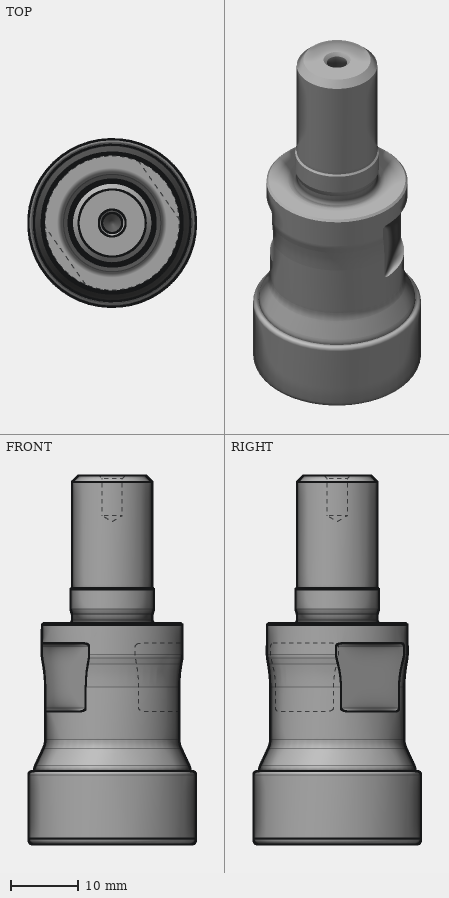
import cadquery as cq
import math

total_height = 55.0
plate_thickness = 0.9
head_top = 10.95
collar_top = 33.0

head_radius = 25.0 / 2
plate_edge_fillet = 0.8
head_top_fillet = 0.55

shoulder_radius = 23.33 / 2
shoulder_angle = math.radians(25)
shoulder_outer_blend = 2.0
shoulder_inner_blend = 3.0

waist_radius = 20.0 / 2
collar_radius = 21.0 / 2
collar_chamfer = 0.3
flare_angle = math.radians(10)
flare_start = 23.45
flare_inner_blend = 20.0
flare_outer_blend = 3.0

shank_radius = 12.0 / 2
shank_end_chamfer = 1.0
band_radius = 12.5 / 2
band_top = 38.0
band_bottom = 35.1
band_foot_radius = 12.1 / 2
band_foot = 34.45
neck_top = 34.25
undercut_blend = 0.6
undercut_blend_top = 33.44
undercut_angle = math.radians(11)

centre_hole_radius = 3.0 / 2
centre_hole_depth = 6.0
centre_countersink_radius = 4.0 / 2
centre_countersink_depth = 0.5
drill_point_angle = math.radians(118)

flat_distance = 17.0 / 2
flat_bottom = 19.85
flat_top = 30.0
flat_corner_radius = 0.5
flat_direction = 215.0


def blend_point(radius, height, blend, angle):
    """Point on a blend arc, at an angle above the horizontal through its centre.

    The arc centre lies at (radius, height); a negative blend puts the point on the axis side.
    """
    return (radius + blend * math.cos(angle), height + abs(blend) * math.sin(angle))


def make_plate():
    plate = cq.Workplane("XY").circle(head_radius).extrude(plate_thickness)
    return plate.faces("<Z").edges().fillet(plate_edge_fillet)


def shoulder_top():
    """Height where the inner blend of the shoulder runs out into the waist."""
    blends = shoulder_outer_blend + shoulder_inner_blend
    cone_run = shoulder_radius - waist_radius - blends * (1 - math.cos(shoulder_angle))
    outer_end = head_top + shoulder_outer_blend * math.sin(shoulder_angle)
    cone_end = outer_end + cone_run / math.tan(shoulder_angle)
    return cone_end + shoulder_inner_blend * math.sin(shoulder_angle)


def make_revolved_body():
    waist_bottom = shoulder_top()
    outer_centre = shoulder_radius - shoulder_outer_blend
    inner_centre = waist_radius + shoulder_inner_blend

    def shoulder_outer(angle):
        return blend_point(outer_centre, head_top, shoulder_outer_blend, angle)

    def shoulder_inner(angle):
        return blend_point(inner_centre, waist_bottom, -shoulder_inner_blend, -angle)

    flare_blends = flare_inner_blend + flare_outer_blend
    flare_run = collar_radius - waist_radius - flare_blends * (1 - math.cos(flare_angle))
    flare_end = flare_start + flare_blends * math.sin(flare_angle) + flare_run / math.tan(flare_angle)
    flare_inner_centre = waist_radius + flare_inner_blend
    flare_outer_centre = collar_radius - flare_outer_blend

    def flare_inner(angle):
        return blend_point(flare_inner_centre, flare_start, -flare_inner_blend, angle)

    def flare_outer(angle):
        return blend_point(flare_outer_centre, flare_end, flare_outer_blend, -angle)

    undercut_centre = shank_radius + undercut_blend
    undercut_sweep = math.pi / 2 - undercut_angle

    def undercut(angle):
        return blend_point(undercut_centre, undercut_blend_top, -undercut_blend, -angle)

    undercut_low = undercut(undercut_sweep)
    undercut_rim = undercut_low[0] + (collar_top - undercut_low[1]) / math.tan(undercut_angle)

    profile = (
        cq.Workplane("XZ")
        .moveTo(0, plate_thickness)
        .lineTo(head_radius, plate_thickness)
        .lineTo(head_radius, head_top - head_top_fillet)
        .radiusArc((head_radius - head_top_fillet, head_top), -head_top_fillet)
        .lineTo(shoulder_radius, head_top)
        .threePointArc(shoulder_outer(shoulder_angle / 2), shoulder_outer(shoulder_angle))
        .lineTo(*shoulder_inner(shoulder_angle))
        .threePointArc(shoulder_inner(shoulder_angle / 2), shoulder_inner(0))
        .lineTo(waist_radius, flare_start)
        .threePointArc(flare_inner(flare_angle / 2), flare_inner(flare_angle))
        .lineTo(*flare_outer(flare_angle))
        .threePointArc(flare_outer(flare_angle / 2), flare_outer(0))
        .lineTo(collar_radius, collar_top - collar_chamfer)
        .lineTo(collar_radius - collar_chamfer, collar_top)
        .lineTo(undercut_rim, collar_top)
        .lineTo(*undercut_low)
        .threePointArc(undercut(undercut_sweep / 2), undercut(0))
        .lineTo(shank_radius, neck_top)
        .lineTo(band_foot_radius, band_foot)
        .lineTo(band_radius, band_bottom)
        .lineTo(band_radius, band_top)
        .lineTo(shank_radius, band_top + band_radius - shank_radius)
        .lineTo(shank_radius, total_height - shank_end_chamfer)
        .lineTo(shank_radius - shank_end_chamfer, total_height)
        .lineTo(0, total_height)
        .close()
    )
    return profile.revolve(360, (0, 0, 0), (0, 1, 0))


def make_centre_hole():
    cylinder_end = total_height - centre_hole_depth
    point_depth = centre_hole_radius / math.tan(drill_point_angle / 2)
    profile = (
        cq.Workplane("XZ")
        .moveTo(0, total_height)
        .lineTo(centre_countersink_radius, total_height)
        .lineTo(centre_hole_radius, total_height - centre_countersink_depth)
        .lineTo(centre_hole_radius, cylinder_end)
        .lineTo(0, cylinder_end - point_depth)
        .close()
    )
    return profile.revolve(360, (0, 0, 0), (0, 1, 0))


def make_flat_cutter(direction):
    """Block that mills one flat, with rounded corners where its floor meets the end walls."""
    depth = 2 * (collar_radius - flat_distance)
    cutter = (
        cq.Workplane("XY")
        .box(depth, 2 * collar_radius, flat_top - flat_bottom, centered=(False, True, False))
        .faces("<X")
        .edges("|Y")
        .fillet(flat_corner_radius)
        .translate((flat_distance, 0, flat_bottom))
    )
    return cutter.rotate((0, 0, 0), (0, 0, 1), direction)


def make_body():
    body = make_revolved_body().cut(make_centre_hole())
    for direction in (flat_direction, flat_direction + 180):
        body = body.cut(make_flat_cutter(direction))
    return body


body = make_body()
plate = make_plate()

result = cq.Compound.makeCompound([body.val(), plate.val()])